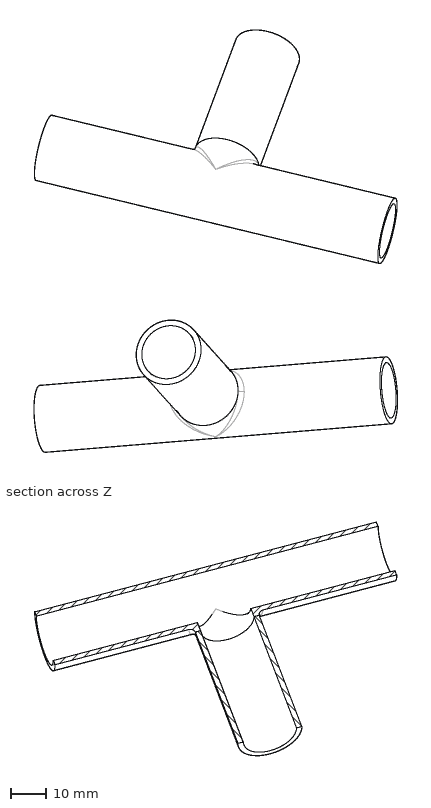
import cadquery as cq

run_length = 101.6
branch_reach = 50.8
outer_diameter = 19.1
bore_diameter = 15.7
crotch_radius = 1.4

joint_y = outer_diameter / 2 + crotch_radius


def run_cylinder(diameter):
    """Cylinder along X, centred on the origin."""
    return cq.Workplane("YZ").circle(diameter / 2).extrude(run_length / 2, both=True)


def branch_cylinder(diameter, start_y, end_y):
    """Cylinder along +Y between two distances from the run axis."""
    return (
        cq.Workplane("XZ", origin=(0, start_y, 0))
        .circle(diameter / 2)
        .extrude(start_y - end_y)
    )


def make_tee():
    """Run tube with a short blended branch stub, bored through both ways."""
    outside = run_cylinder(outer_diameter).union(branch_cylinder(outer_diameter, 0, branch_reach))
    crotch_zone = cq.selectors.BoxSelector(
        (-outer_diameter, 0, -outer_diameter),
        (outer_diameter, outer_diameter, outer_diameter),
    )
    outside = outside.edges(crotch_zone).edges("not(|X or |Y)").fillet(crotch_radius)
    beyond_joint = cq.Workplane("XY").box(
        run_length, branch_reach, run_length, centered=(True, False, True)
    ).translate((0, joint_y, 0))
    return (
        outside.cut(beyond_joint)
        .cut(run_cylinder(bore_diameter))
        .cut(branch_cylinder(bore_diameter, 0, joint_y))
    )


def make_branch_tube():
    """Plain tube continuing the branch from the joint to its open end."""
    outside = branch_cylinder(outer_diameter, joint_y, branch_reach)
    return outside.cut(branch_cylinder(bore_diameter, joint_y, branch_reach))


tee = make_tee()
branch_tube = make_branch_tube()

result = cq.Compound.makeCompound([tee.val(), branch_tube.val()])